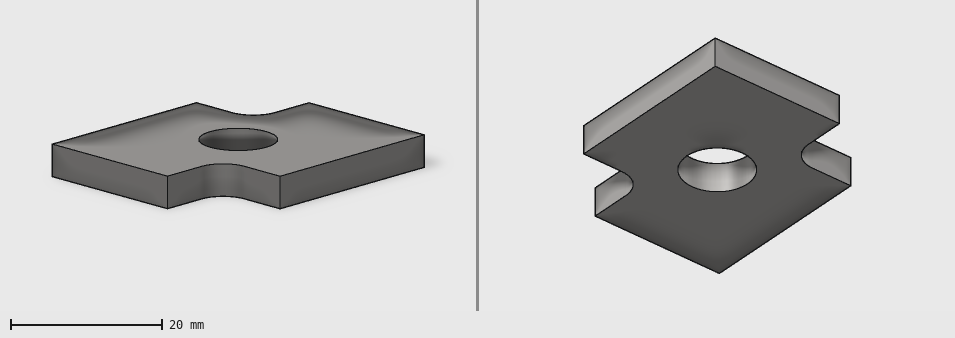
import cadquery as cq

length_x = 32.0
length_y = 37.59
thickness = 4.5

hole_diameter = 10.41

notch_x = 10.625
notch_y = 10.41
notch_radius = 3.97


def make_plate():
    """Rectangular plate with the central hole."""
    plate = cq.Workplane("XY").box(length_x, length_y, thickness, centered=(True, True, False))
    return plate.faces(">Z").workplane().hole(hole_diameter)


def make_notch(side_x, side_y):
    """Corner cutter with a rounded inner corner; each side is -1 or 1."""
    corner_x = side_x * length_x / 2
    corner_y = side_y * length_y / 2
    inner_x = corner_x - side_x * notch_x
    inner_y = corner_y - side_y * notch_y
    center = ((corner_x + inner_x) / 2, (corner_y + inner_y) / 2)
    cutter = cq.Workplane("XY").center(*center).rect(notch_x, notch_y).extrude(thickness)
    inner_edge = cq.selectors.NearestToPointSelector((inner_x, inner_y, thickness / 2))
    return cutter.edges(inner_edge).fillet(notch_radius)


result = make_plate()
for side in (-1, 1):
    result = result.cut(make_notch(side, -side))